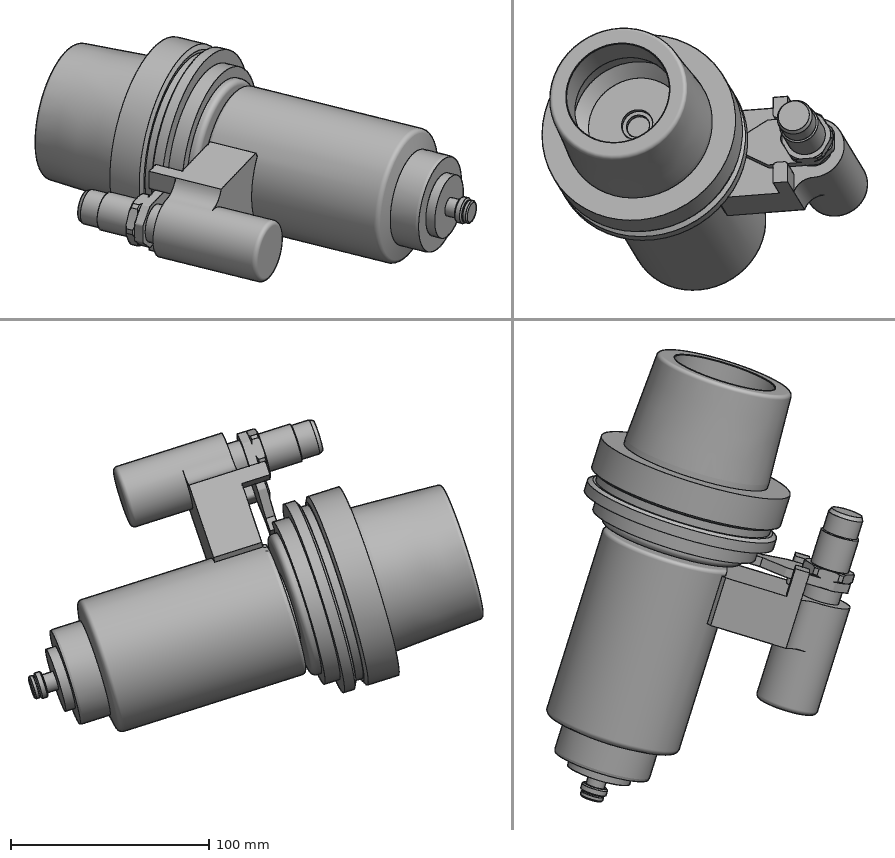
import cadquery as cq
import math

TOTAL_LENGTH = 228.8
TOTAL_WIDTH = 146.0

TAPER_FRONT_DIA = 71.2
TAPER_REAR_DIA = 76.0
TAPER_EDGE_ROUND = 2.0
TAPER_END_X = 47.0

FLANGE_DIA = 100.0
FLANGE_START_X = 49.9
FLANGE_END_X = 79.0
GROOVE_DIA = 92.0
GROOVE_START_X = 67.7
GROOVE_END_X = 72.0
GROOVE_FLANK_LENGTH = 1.4
GROOVE_FLANK_DEPTH = 2.5

COLLAR_DIA = 86.0
COLLAR_END_X = 87.0
LIP_DIA = 74.5
LIP_END_X = 91.8
LIP_ROUND = 2.7
NECK_DIA = 35.0

BODY_DIA = 70.0
BODY_START_X = 94.0
BODY_EDGE_ROUND = 2.0
BODY_SHOULDER_X = 191.0
BODY_END_X = 195.2
DOME_DIA = 66.1
DOME_START_X = 193.5

REAR_COLLAR_DIA = 50.0
REAR_COLLAR_END_X = 211.0
REAR_COLLAR_BEVEL_LENGTH = 1.4
REAR_COLLAR_BEVEL_DEPTH = 0.35
REAR_DISC_DIA = 33.0
REAR_DISC_END_X = 216.0

STEM_DIA = 9.5
KNOB_DIA = 13.5
KNOB_START_X = 222.0
KNOB_END_X = 225.8
KNOB_CHAMFER = 0.7
TIP_DIA = 12.0
TIP_GROOVE_DIA = 11.5
TIP_GROOVE_WIDTH = 0.7
TIP_END_CHAMFER = 0.7

BORE_MOUTH_DIA = 53.8
BORE_DIA = 53.0
UNDERCUT_START_X = 20.1
UNDERCUT_DIA = 63.0
BORE_FLOOR_DIA = 50.0
BORE_DEPTH = 45.8
COUNTERBORE_DIA = 16.0
COUNTERBORE_DEPTH = 2.3
CENTRE_HOLE_DIA = 12.0
CENTRE_HOLE_DEPTH = 4.5

SENSOR_DIA = 32.0
SENSOR_Y = (FLANGE_DIA + SENSOR_DIA) / 2 - TOTAL_WIDTH
SENSOR_END_X = 154.5
SENSOR_END_ROUND = 2.3

PLUG_START_X = 50.3
PLUG_FACE_DIA = 16.0
PLUG_DIA = 18.0
PLUG_CHAMFER_LENGTH = 2.0
PLUG_END_X = 61.8
PLUG_STEP_LENGTH = 0.5
CONNECTOR_DIA = 20.0

ACROSS_FLATS = 24.3
NUT_START_X = 79.6
NUT_CORNER_ROUND = 3.5
HEXAGON_TURN = 30
NUT_FACE_DIA = 25.2
NUT_RIM_DIA = 26.5
NUT_CHAMFER_LENGTH = 0.7
PLATE_START_X = 84.5
PLATE_THICKNESS = 4.8
PLATE_OUTER_Y = -92.5
PLATE_OUTER_CORNER_Y = -84.5
PLATE_INNER_CORNER_Y = -59.0
PLATE_TONGUE_START_Y = -46.0
PLATE_TONGUE_Y = -39.1
PLATE_TIP_WIDTH = 10.0
PLATE_TONGUE_WIDTH = 9.2
PLATE_CORNER_ROUND = 1.5

BRACKET_START_X = 96.5
BRACKET_END_X = 122.2
BRACKET_HEIGHT = 46.2
BRACKET_OUTER_Y = -70.0
BODY_FLAT_Y = -30.2
BEVEL_INNER_Y = -28.4
BRACKET_ROOT_Y = -18.3
ARM_START_X = 81.7
ARM_INNER_Y = -62.5
ARM_EDGE_ROUND = 1.8


def turned(profile):
    """Revolve an XY half profile, drawn above the X axis, around the X axis."""
    return profile.close().revolve(360, (0, 0, 0), (1, 0, 0))


def bar(start_x, end_x, outline):
    """Extrude a YZ outline, drawn by a function on a workplane, along X."""
    return outline(cq.Workplane("YZ", origin=(start_x, 0, 0))).extrude(end_x - start_x)


def rounded_corner(profile, x, radius, size, turn_down):
    """Add a quarter-round corner at station x, entering or leaving an outer radius."""
    middle = size * (1 - math.sqrt(0.5))
    if turn_down:
        return (profile.lineTo(x - size, radius)
                .threePointArc((x - middle, radius - middle), (x, radius - size)))
    return (profile.lineTo(x, radius - size)
            .threePointArc((x + middle, radius - middle), (x + size, radius)))


def make_spindle():
    flange_r = FLANGE_DIA / 2
    flank_r = flange_r - GROOVE_FLANK_DEPTH
    groove_r = GROOVE_DIA / 2
    body_r = BODY_DIA / 2
    rear_r = REAR_COLLAR_DIA / 2
    knob_r = KNOB_DIA / 2
    tip_r = TIP_DIA / 2

    p = cq.Workplane("XY").moveTo(0, 0)
    p = rounded_corner(p, 0, TAPER_FRONT_DIA / 2, TAPER_EDGE_ROUND, False)
    p = p.lineTo(TAPER_END_X, TAPER_REAR_DIA / 2).lineTo(FLANGE_START_X, TAPER_REAR_DIA / 2)
    p = p.lineTo(FLANGE_START_X, flange_r).lineTo(GROOVE_START_X - GROOVE_FLANK_LENGTH, flange_r)
    p = p.lineTo(GROOVE_START_X, flank_r).lineTo(GROOVE_START_X, groove_r)
    p = p.lineTo(GROOVE_END_X, groove_r).lineTo(GROOVE_END_X, flank_r)
    p = p.lineTo(GROOVE_END_X + GROOVE_FLANK_LENGTH, flange_r).lineTo(FLANGE_END_X, flange_r)

    p = p.lineTo(FLANGE_END_X, COLLAR_DIA / 2).lineTo(COLLAR_END_X, COLLAR_DIA / 2)
    p = p.lineTo(COLLAR_END_X, LIP_DIA / 2)
    p = rounded_corner(p, LIP_END_X, LIP_DIA / 2, LIP_ROUND, True)
    p = p.lineTo(LIP_END_X, NECK_DIA / 2).lineTo(BODY_START_X, NECK_DIA / 2)

    p = rounded_corner(p, BODY_START_X, body_r, BODY_EDGE_ROUND, False)
    p = p.lineTo(BODY_SHOULDER_X, body_r)
    p = p.tangentArcPoint((DOME_START_X, DOME_DIA / 2), relative=False)
    p = p.lineTo(BODY_END_X, rear_r)

    p = p.lineTo(REAR_COLLAR_END_X - REAR_COLLAR_BEVEL_LENGTH, rear_r)
    p = p.lineTo(REAR_COLLAR_END_X, rear_r - REAR_COLLAR_BEVEL_DEPTH)
    p = p.lineTo(REAR_COLLAR_END_X, REAR_DISC_DIA / 2).lineTo(REAR_DISC_END_X, REAR_DISC_DIA / 2)

    p = p.lineTo(REAR_DISC_END_X, STEM_DIA / 2).lineTo(KNOB_START_X, STEM_DIA / 2)
    p = p.lineTo(KNOB_START_X, knob_r - KNOB_CHAMFER).lineTo(KNOB_START_X + KNOB_CHAMFER, knob_r)
    p = p.lineTo(KNOB_END_X - KNOB_CHAMFER, knob_r).lineTo(KNOB_END_X, TIP_GROOVE_DIA / 2)
    p = p.lineTo(KNOB_END_X + TIP_GROOVE_WIDTH, TIP_GROOVE_DIA / 2)
    p = p.lineTo(KNOB_END_X + TIP_GROOVE_WIDTH, tip_r).lineTo(TOTAL_LENGTH - TIP_END_CHAMFER, tip_r)
    p = p.lineTo(TOTAL_LENGTH, tip_r - TIP_END_CHAMFER).lineTo(TOTAL_LENGTH, 0)
    return turned(p)


def make_bore():
    """Cutter for the undercut bore with a conical bottom edge and a central stepped hole."""
    mouth_chamfer = (BORE_MOUTH_DIA - BORE_DIA) / 2
    floor_chamfer = (UNDERCUT_DIA - BORE_FLOOR_DIA) / 2
    undercut_end_x = BORE_DEPTH - floor_chamfer
    counterbore_end_x = BORE_DEPTH + COUNTERBORE_DEPTH
    hole_end_x = BORE_DEPTH + CENTRE_HOLE_DEPTH
    p = cq.Workplane("XY").moveTo(0, 0).lineTo(0, BORE_MOUTH_DIA / 2)
    p = p.lineTo(mouth_chamfer, BORE_DIA / 2).lineTo(UNDERCUT_START_X, BORE_DIA / 2)
    p = p.lineTo(UNDERCUT_START_X, UNDERCUT_DIA / 2).lineTo(undercut_end_x, UNDERCUT_DIA / 2)
    p = p.lineTo(BORE_DEPTH, BORE_FLOOR_DIA / 2)
    p = p.lineTo(BORE_DEPTH, COUNTERBORE_DIA / 2).lineTo(counterbore_end_x, COUNTERBORE_DIA / 2)
    p = p.lineTo(counterbore_end_x, CENTRE_HOLE_DIA / 2).lineTo(hole_end_x, CENTRE_HOLE_DIA / 2)
    p = p.lineTo(hole_end_x, 0)
    return turned(p)


def make_sensor():
    connector_r = CONNECTOR_DIA / 2
    plug_r = PLUG_DIA / 2
    p = cq.Workplane("XY").moveTo(PLUG_START_X, 0).lineTo(PLUG_START_X, PLUG_FACE_DIA / 2)
    p = p.lineTo(PLUG_START_X + PLUG_CHAMFER_LENGTH, plug_r).lineTo(PLUG_END_X, plug_r)
    p = p.lineTo(PLUG_END_X + PLUG_STEP_LENGTH, connector_r).lineTo(BRACKET_START_X, connector_r)
    p = p.lineTo(BRACKET_START_X, SENSOR_DIA / 2)
    p = rounded_corner(p, SENSOR_END_X, SENSOR_DIA / 2, SENSOR_END_ROUND, True)
    p = p.lineTo(SENSOR_END_X, 0)
    return turned(p).translate((0, SENSOR_Y, 0))


def make_nut():
    """Hexagon nut with rounded corners and both faces chamfered."""
    hexagon = bar(NUT_START_X, PLATE_START_X,
                  lambda w: w.polygon(6, ACROSS_FLATS, circumscribed=True))
    hexagon = hexagon.rotate((0, 0, 0), (1, 0, 0), HEXAGON_TURN).edges("|X").fillet(NUT_CORNER_ROUND)
    p = cq.Workplane("XY").moveTo(NUT_START_X, 0).lineTo(NUT_START_X, NUT_FACE_DIA / 2)
    p = p.lineTo(NUT_START_X + NUT_CHAMFER_LENGTH, NUT_RIM_DIA / 2)
    p = p.lineTo(PLATE_START_X - NUT_CHAMFER_LENGTH, NUT_RIM_DIA / 2)
    p = p.lineTo(PLATE_START_X, NUT_FACE_DIA / 2).lineTo(PLATE_START_X, 0)
    return hexagon.intersect(turned(p)).translate((0, SENSOR_Y, 0))


def make_plate():
    """Locking plate that reaches from the sensor to the spindle collar."""
    half_width = ACROSS_FLATS / 2
    half_tongue = PLATE_TONGUE_WIDTH / 2
    half_tip = PLATE_TIP_WIDTH / 2
    upper_half = [
        (PLATE_TONGUE_Y, half_tongue),
        (PLATE_TONGUE_START_Y, half_tongue),
        (PLATE_INNER_CORNER_Y, half_width),
        (PLATE_OUTER_CORNER_Y, half_width),
        (PLATE_OUTER_Y, half_tip),
    ]
    lower_half = [(y, -z) for y, z in reversed(upper_half)]
    plate = bar(PLATE_START_X, PLATE_START_X + PLATE_THICKNESS,
                lambda w: w.polyline(upper_half + lower_half).close())
    taper_mid_y = (PLATE_TONGUE_START_Y + PLATE_INNER_CORNER_Y) / 2
    wide_corners = plate.edges("|X").filter(lambda edge: edge.Center().y < taper_mid_y)
    return wide_corners.fillet(PLATE_CORNER_ROUND)


def make_bracket():
    half_height = BRACKET_HEIGHT / 2
    sensor_r = SENSOR_DIA / 2

    blend_run = BRACKET_OUTER_Y - SENSOR_Y
    blend_rise = half_height - sensor_r
    blend_r = (blend_run ** 2 + blend_rise ** 2) / (2 * blend_rise)
    half_sweep = math.asin(blend_run / blend_r) / 2
    blend_mid_y = SENSOR_Y + blend_r * math.sin(half_sweep)
    blend_mid_z = sensor_r + blend_r * (1 - math.cos(half_sweep))

    bevel_z = math.sqrt((BODY_DIA / 2) ** 2 - BEVEL_INNER_Y ** 2)

    def block_outline(w):
        return (w.moveTo(BRACKET_ROOT_Y, -bevel_z).lineTo(BRACKET_ROOT_Y, bevel_z)
                .lineTo(BEVEL_INNER_Y, bevel_z).lineTo(BODY_FLAT_Y, half_height)
                .lineTo(BRACKET_OUTER_Y, half_height)
                .threePointArc((blend_mid_y, blend_mid_z), (SENSOR_Y, sensor_r))
                .lineTo(SENSOR_Y, -sensor_r)
                .threePointArc((blend_mid_y, -blend_mid_z), (BRACKET_OUTER_Y, -half_height))
                .lineTo(BODY_FLAT_Y, -half_height).lineTo(BEVEL_INNER_Y, -bevel_z).close())

    bracket = bar(BRACKET_START_X, BRACKET_END_X, block_outline)

    arm_height = (BRACKET_HEIGHT - ACROSS_FLATS) / 2
    upper_arm = cq.Workplane("XY").box(
        BRACKET_START_X - ARM_START_X, ARM_INNER_Y - BRACKET_OUTER_Y, arm_height, centered=False)
    upper_arm = upper_arm.edges("|X and <Z").fillet(ARM_EDGE_ROUND)
    upper_arm = upper_arm.translate((ARM_START_X, BRACKET_OUTER_Y, ACROSS_FLATS / 2))
    return bracket.union(upper_arm).union(upper_arm.mirror("XY"))


def make_body_flat():
    """Cutter for the flat on the body where the bracket is seated."""
    depth = BODY_DIA / 2 + BODY_FLAT_Y
    return cq.Workplane("XY").box(
        BRACKET_END_X - BODY_START_X, depth, BODY_DIA, centered=(False, False, True)
    ).translate((BODY_START_X, -BODY_DIA / 2, 0))


result = make_spindle().cut(make_bore()).cut(make_body_flat())
for component in (make_bracket(), make_sensor(), make_nut(), make_plate()):
    result = result.union(component)